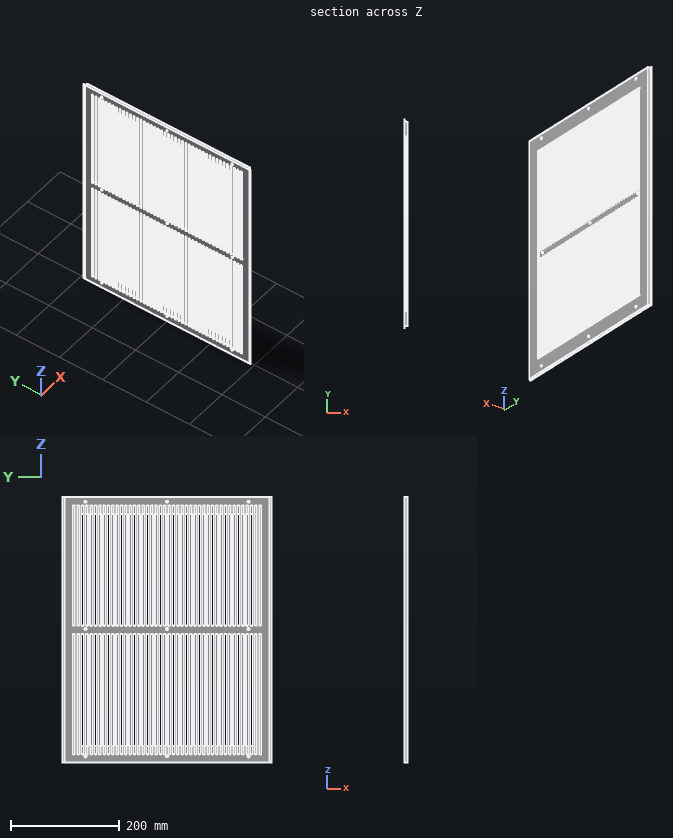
import cadquery as cq

height = 491.0
width = 386.5
thickness = 6.0

lip_thickness = 1.0
lip_width = 4.0
side_draft = 0.5

web_thickness = 3.0
pocket_width = 322.0
pocket_height = 427.5

slot_count = 44
slot_pitch = 8.0
slot_width = 3.85
slot_inner_end = 7.5
slot_outer_end = 230.5
slot_length = slot_outer_end - slot_inner_end
slot_middle = (slot_outer_end + slot_inner_end) / 2

side_hole_diameter = 3.5
middle_hole_diameter = 3.3
hole_pitch_y = 150.5
hole_pitch_z = 235.0
hole_grid_rise = 1.5


def make_body():
    """Panel section in XY with a lip on both sides, run along the full height."""
    half_width = width / 2
    front_half = half_width - lip_width
    back_half = front_half - side_draft
    section = [
        (0, -half_width),
        (lip_thickness, -half_width),
        (lip_thickness, -front_half),
        (thickness, -back_half),
        (thickness, back_half),
        (lip_thickness, front_half),
        (lip_thickness, half_width),
        (0, half_width),
    ]
    return cq.Workplane("XY").polyline(section).close().extrude(height / 2, both=True)


def make_pocket():
    """Rectangular recess from the back down to the web."""
    return (
        cq.Workplane("YZ", origin=(web_thickness, 0, 0))
        .rect(pocket_width, pocket_height)
        .extrude(thickness - web_thickness)
    )


def make_slots():
    """Round-ended slots cut to the depth of the web."""
    first_y = -(slot_count - 1) * slot_pitch / 2
    centres = [
        (first_y + i * slot_pitch, side * slot_middle)
        for side in (-1, 1)
        for i in range(slot_count)
    ]
    return (
        cq.Workplane("YZ")
        .pushPoints(centres)
        .slot2D(slot_length, slot_width, 90)
        .extrude(web_thickness)
    )


def make_hole_column(y, diameter):
    """Vertical row of three screw holes through the full thickness."""
    return (
        cq.Workplane("YZ", origin=(0, y, hole_grid_rise))
        .rarray(5, hole_pitch_z, 1, 3)
        .circle(diameter / 2)
        .extrude(thickness)
    )


result = make_body().cut(make_pocket()).cut(make_slots())
result = result.cut(make_hole_column(0, middle_hole_diameter))
for side_y in (-hole_pitch_y, hole_pitch_y):
    result = result.cut(make_hole_column(side_y, side_hole_diameter))